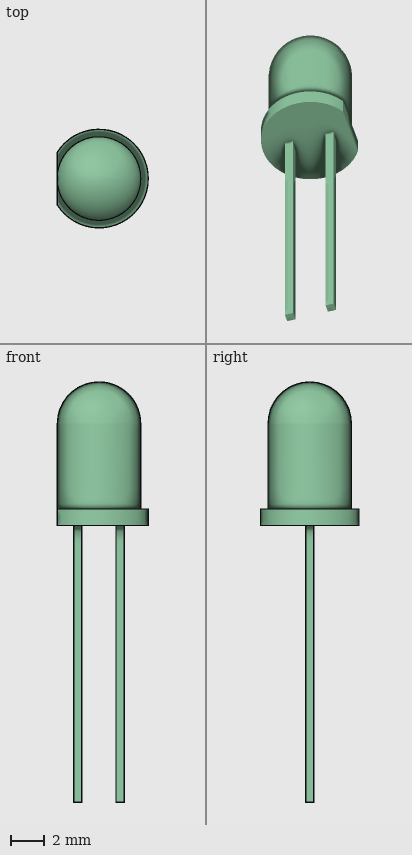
import cadquery as cq

total_height = 25.1
lens_diameter = 5.0
lens_radius = lens_diameter / 2
flange_diameter = 5.9
flange_height = 1.0
lens_height = 8.58
dome_base = lens_height - lens_radius

lead_side = 0.5
lead_pitch = 2.54
lead_length = total_height - lens_height


def make_flange():
    """Round flange with a flat on -X, level with the side of the lens."""
    disc = cq.Workplane("XY").circle(flange_diameter / 2).extrude(flange_height)
    kept_side = (
        cq.Workplane("XY")
        .box(flange_diameter, flange_diameter, flange_height, centered=(False, True, False))
        .translate((-lens_radius, 0, 0))
    )
    return disc.intersect(kept_side)


def make_housing():
    """Flange, cylinder and dome as one solid, with its underside at Z = 0."""
    barrel = cq.Workplane("XY").circle(lens_radius).extrude(dome_base)
    dome = (
        cq.Workplane("XZ")
        .moveTo(0, dome_base)
        .lineTo(lens_radius, dome_base)
        .radiusArc((0, lens_height), -lens_radius)
        .close()
        .revolve(360, (0, 0), (0, 1))
    )
    return make_flange().union(barrel).union(dome)


def make_lead(x):
    """Square lead hanging from the flange underside, centred at the given X."""
    return cq.Workplane("XY").center(x, 0).rect(lead_side, lead_side).extrude(-lead_length)


housing = make_housing()
leads = [make_lead(side * lead_pitch / 2) for side in (-1, 1)]

result = cq.Compound.makeCompound([housing.val(), *[lead.val() for lead in leads]])